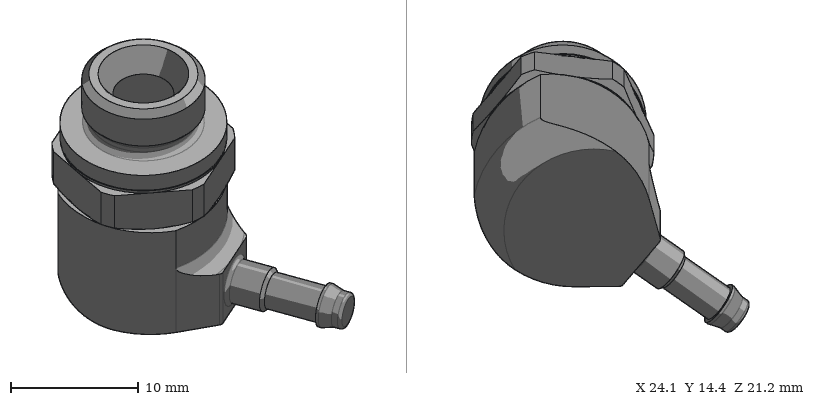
import cadquery as cq
import math

body_top = 10.45
half_width = 6.5
front_face_radius = 9.63
side_radius = 7.9
back_face_radius = 7.9
bottom_round = 2.53
flat_start_x = 4.86
body_end_x = 7.8
corner_round = 0.43
ledge_z = 5.22
ledge_fillet = 1.37

hex_bottom = 10.7
hex_top = 14.42
hex_across_flats = 13.0
hex_corner_radius = 7.2
hex_chamfer_angle = math.radians(30)

seat_radius = 4.65
seat_top_radius = 4.9
step_radius = 6.5
flange_radius = 6.57
flange_bottom = 14.7
flange_top = 16.3
neck_radius = 4.28
neck_fillet = 0.5
relief_fillet = 0.26
thread_radius = 4.86
thread_bottom = 17.88
thread_chamfer = 0.58
overall_top = 21.2

bore_diameter = 4.8
bore_radius = bore_diameter / 2
mouth_radius = 3.56
mouth_half_angle = math.radians(30)

tail_z = 2.6
tail_base_radius = 1.8
tail_base_fillet = 0.31
tail_base_end = 10.69
tail_diameter = 3.0
tail_radius = tail_diameter / 2
barb_start = 15.48
barb_radius = 1.8
barb_land = 0.25
barb_end = 16.7
tip_x = 17.5
tip_round = 0.26

bore_floor = tail_z

arc_mid = math.sqrt(0.5)


def make_body():
    """Column with bowed faces, tapering towards the hose tail above a low ledge."""
    side_center_y = half_width - side_radius
    front_center_x = front_face_radius - half_width
    flat_start_y = side_center_y + math.sqrt(side_radius**2 - flat_start_x**2)
    slope = flat_start_x / (flat_start_y - side_center_y)
    end_y = flat_start_y - slope * (body_end_x - flat_start_x)
    arc_start_x = -half_width
    arc_start_y = side_center_y + math.sqrt(side_radius**2 - arc_start_x**2)
    column = (
        cq.Workplane("XY")
        .moveTo(arc_start_x, arc_start_y)
        .threePointArc((0, half_width), (flat_start_x, flat_start_y))
        .lineTo(body_end_x, end_y)
        .lineTo(body_end_x, -end_y)
        .lineTo(flat_start_x, -flat_start_y)
        .threePointArc((0, -half_width), (arc_start_x, -arc_start_y))
        .close()
        .extrude(body_top)
        .edges("|Z and >X")
        .fillet(corner_round)
    )
    front_envelope = (
        cq.Workplane("XY")
        .center(front_center_x, 0)
        .circle(front_face_radius)
        .extrude(body_top)
        .faces("<Z")
        .edges()
        .fillet(bottom_round)
    )
    return column.intersect(front_envelope).cut(make_back_cutter())


def make_back_cutter():
    """Ring leaving the bowed back face and a concave fillet down to the ledge."""
    back_center_x = half_width - back_face_radius
    outer_radius = 2 * back_face_radius
    dip = ledge_fillet * (1 - arc_mid)
    return (
        cq.Workplane("XZ")
        .moveTo(back_face_radius, body_top)
        .lineTo(back_face_radius, ledge_z + ledge_fillet)
        .threePointArc(
            (back_face_radius + dip, ledge_z + dip),
            (back_face_radius + ledge_fillet, ledge_z),
        )
        .lineTo(outer_radius, ledge_z)
        .lineTo(outer_radius, body_top)
        .close()
        .revolve(360, (0, 0, 0), (0, 1, 0))
        .translate((back_center_x, 0, 0))
    )


def make_hexagon():
    """Hexagon with turned corners and a chamfered lower rim."""
    hexagon = (
        cq.Workplane("XY", origin=(0, 0, hex_bottom))
        .polygon(6, hex_across_flats, circumscribed=True)
        .extrude(hex_top - hex_bottom)
    )
    inner_radius = hex_across_flats / 2
    chamfer_height = (hex_corner_radius - inner_radius) * math.tan(hex_chamfer_angle)
    turned_envelope = (
        cq.Workplane("XZ")
        .moveTo(0, hex_bottom)
        .lineTo(inner_radius, hex_bottom)
        .lineTo(hex_corner_radius, hex_bottom + chamfer_height)
        .lineTo(hex_corner_radius, hex_top)
        .lineTo(0, hex_top)
        .close()
        .revolve(360, (0, 0, 0), (0, 1, 0))
    )
    return hexagon.intersect(turned_envelope)


def make_spigot():
    """Turned core: conical seat, flange, undercut neck and threaded end."""
    neck_dip = neck_fillet * (1 - arc_mid)
    relief_dip = relief_fillet * (1 - arc_mid)
    neck_top = thread_bottom - (thread_radius - neck_radius)
    half_turn = math.radians(45) / 2
    relief_bottom = neck_top - relief_fillet * math.tan(half_turn)
    relief_end = (neck_radius + relief_dip, relief_bottom + relief_fillet * arc_mid)
    relief_mid = (
        neck_radius + relief_fillet * (1 - math.cos(half_turn)),
        relief_bottom + relief_fillet * math.sin(half_turn),
    )
    return (
        cq.Workplane("XZ")
        .moveTo(0, body_top)
        .lineTo(seat_radius, body_top)
        .lineTo(seat_top_radius, hex_bottom)
        .lineTo(seat_top_radius, hex_top)
        .lineTo(step_radius, hex_top)
        .lineTo(step_radius, flange_bottom)
        .lineTo(flange_radius, flange_bottom)
        .lineTo(flange_radius, flange_top)
        .lineTo(neck_radius + neck_fillet, flange_top)
        .threePointArc(
            (neck_radius + neck_dip, flange_top + neck_dip),
            (neck_radius, flange_top + neck_fillet),
        )
        .lineTo(neck_radius, relief_bottom)
        .threePointArc(relief_mid, relief_end)
        .lineTo(thread_radius, thread_bottom)
        .lineTo(thread_radius, overall_top - thread_chamfer)
        .lineTo(thread_radius - thread_chamfer, overall_top)
        .lineTo(0, overall_top)
        .close()
        .revolve(360, (0, 0, 0), (0, 1, 0))
    )


def make_hose_tail():
    """Stepped tube with a filleted root, one barb and a rounded tip."""
    root_dip = tail_base_fillet * (1 - arc_mid)
    tip_dip = tip_round * (1 - arc_mid)
    step = tail_base_radius - tail_radius
    return (
        cq.Workplane("XZ")
        .moveTo(flat_start_x, 0)
        .lineTo(flat_start_x, tail_base_radius)
        .lineTo(body_end_x, tail_base_radius)
        .lineTo(body_end_x, tail_base_radius + tail_base_fillet)
        .threePointArc(
            (body_end_x + root_dip, tail_base_radius + root_dip),
            (body_end_x + tail_base_fillet, tail_base_radius),
        )
        .lineTo(tail_base_end, tail_base_radius)
        .lineTo(tail_base_end + step, tail_radius)
        .lineTo(barb_start, tail_radius)
        .lineTo(barb_start, barb_radius)
        .lineTo(barb_start + barb_land, barb_radius)
        .lineTo(barb_end, tail_radius)
        .lineTo(tip_x - tip_round, tail_radius)
        .threePointArc((tip_x - tip_dip, tail_radius - tip_dip), (tip_x, tail_radius - tip_round))
        .lineTo(tip_x, 0)
        .close()
        .revolve(360, (0, 0, 0), (1, 0, 0))
        .translate((0, 0, tail_z))
    )


def make_bore():
    """Blind bore opening through a cone at the top."""
    mouth_depth = (mouth_radius - bore_radius) / math.tan(mouth_half_angle)
    return (
        cq.Workplane("XZ")
        .moveTo(0, bore_floor)
        .lineTo(bore_radius, bore_floor)
        .lineTo(bore_radius, overall_top - mouth_depth)
        .lineTo(mouth_radius, overall_top)
        .lineTo(0, overall_top)
        .close()
        .revolve(360, (0, 0, 0), (0, 1, 0))
    )


result = (
    make_body()
    .union(make_spigot())
    .union(make_hexagon())
    .union(make_hose_tail())
    .cut(make_bore())
)